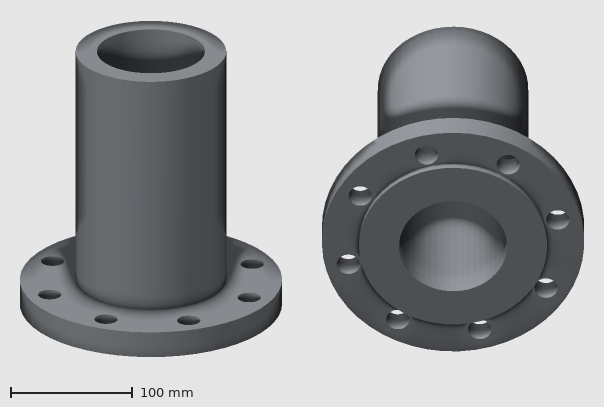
import cadquery as cq

total_height = 233.4

flange_diameter = 215.9
flange_thickness = 22.2
face_diameter = 154.7
face_height = 6.0

pipe_diameter = 124.0
bore_diameter = 89.0

bolt_count = 8
bolt_circle_diameter = 177.8
bolt_hole_diameter = 19.1

flange_top = face_height + flange_thickness
pipe_length = total_height - flange_top


def disc(diameter, bottom, height):
    """Upright cylinder on the part axis."""
    return cq.Workplane("XY").workplane(offset=bottom).circle(diameter / 2).extrude(height)


def bolt_holes():
    """Cutters for the ring of bolt holes through the flange plate."""
    return (
        cq.Workplane("XY")
        .workplane(offset=face_height)
        .polarArray(bolt_circle_diameter / 2, 0, 360, bolt_count)
        .circle(bolt_hole_diameter / 2)
        .extrude(flange_thickness)
    )


raised_face = disc(face_diameter, 0, face_height)
flange = disc(flange_diameter, face_height, flange_thickness)
pipe = disc(pipe_diameter, flange_top, pipe_length)
bore = disc(bore_diameter, 0, total_height)

result = raised_face.union(flange).union(pipe).cut(bore).cut(bolt_holes())